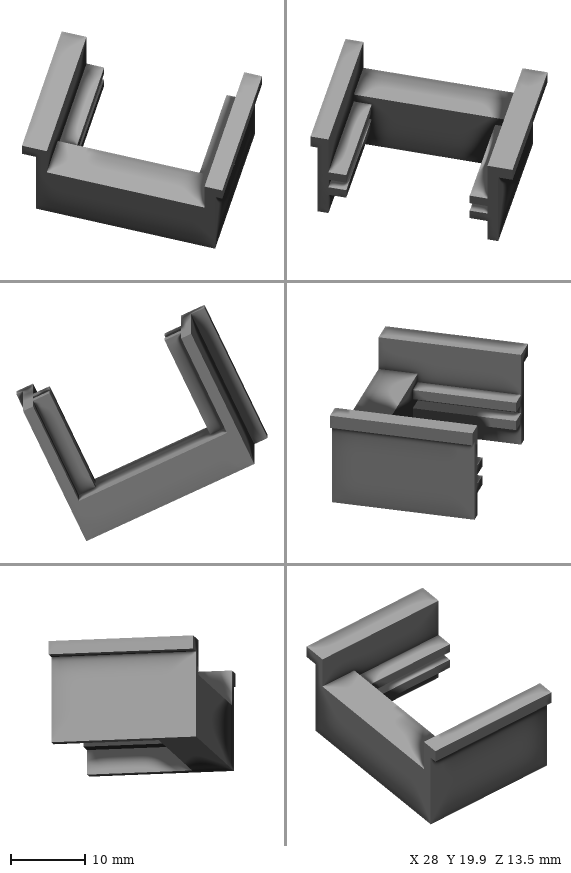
import cadquery as cq

length = 28.0
depth = 19.9
height = 13.5

left_overhang = 2.0
right_overhang = 1.0
wall = 1.48
flange_thickness = 1.82

block_height = 8.75
block_depth = 5.45

rail_projection = 2.45
rail_thickness = 1.37
groove_height = 1.37
rail_top = 7.48

wall_left = left_overhang
wall_right = length - right_overhang


def side_arm(outer_x, inward, overhang):
    """Flanged, railed wall over the full depth; inward is +1 or -1 along X."""
    rail_edge = wall + rail_projection
    groove_top = rail_top - rail_thickness
    groove_bottom = groove_top - groove_height
    rail_bottom = groove_bottom - rail_thickness
    flange_bottom = height - flange_thickness
    profile = [
        (0, 0),
        (wall, 0),
        (wall, rail_bottom),
        (rail_edge, rail_bottom),
        (rail_edge, groove_bottom),
        (wall, groove_bottom),
        (wall, groove_top),
        (rail_edge, groove_top),
        (rail_edge, rail_top),
        (wall, rail_top),
        (wall, height),
        (-overhang, height),
        (-overhang, flange_bottom),
        (0, flange_bottom),
    ]
    points = [(outer_x + inward * offset, z) for offset, z in profile]
    return cq.Workplane("XZ").polyline(points).close().extrude(-depth)


front_block = (
    cq.Workplane("XY")
    .box(wall_right - wall_left, block_depth, block_height, centered=False)
    .translate((wall_left, 0, 0))
)
left_arm = side_arm(wall_left, 1, left_overhang)
right_arm = side_arm(wall_right, -1, right_overhang)

result = front_block.union(left_arm).union(right_arm)